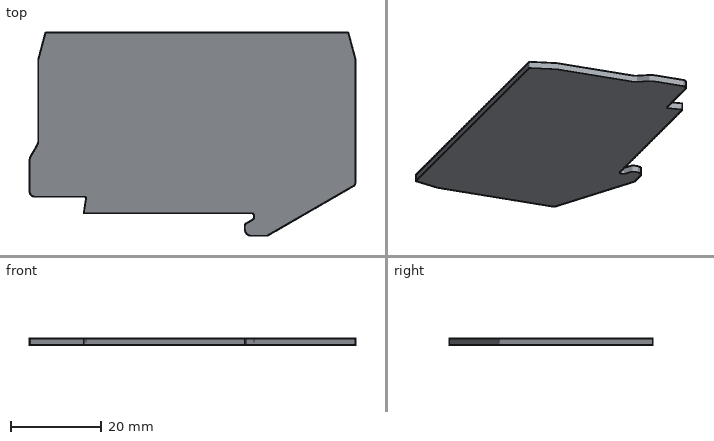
import cadquery as cq
import math

LENGTH = 72.4
WIDTH = 45.2
THICKNESS = 1.5

TAPER_INSET = 1.6
TAPER_ANGLE = 15.0
TOP_CORNER_RADIUS = 0.3

LUG_DEPTH = 1.95
LUG_BOTTOM = 8.7
LUG_TOP = 17.2
LUG_SLOPE_ANGLE = 60.0
LUG_SLOPE_RADIUS = 2.2
LUG_FOOT_RADIUS = 1.2

STEP_TOP_X = 12.6
STEP_BOTTOM_X = 12.0
LOWER_EDGE_Y = 5.0
STEP_TOP_RADIUS = 0.35
STEP_BOTTOM_RADIUS = 0.2

HOOK_X = 47.8
HOOK_END_X = 52.8
HOOK_SHOULDER_Y = 2.6
HOOK_RADIUS = 1.5
HOOK_SHOULDER_RADIUS = 0.7
NOTCH_X = 49.8
NOTCH_RADIUS = 0.4

SLOPE_ANGLE = 30.0
CORNER_RADIUS = 1.0


def rise(run, angle):
    """Height gained over a horizontal run at an angle from horizontal."""
    return run * math.tan(math.radians(angle))


def round_corner(body, corner, radius):
    """Round the upright edge that stands at an outline corner."""
    x, y = corner
    reach = 0.1
    selector = cq.selectors.BoxSelector(
        (x - reach, y - reach, -reach),
        (x + reach, y + reach, THICKNESS + reach),
    )
    return body.edges("|Z").edges(selector).fillet(radius)


taper_y = WIDTH - rise(TAPER_INSET, 90 - TAPER_ANGLE)
lug_root = (LUG_DEPTH, LUG_TOP + rise(LUG_DEPTH, LUG_SLOPE_ANGLE))
lug_shoulder = (0, LUG_TOP)
lug_foot = (0, LUG_BOTTOM)
notch_top = (NOTCH_X, LOWER_EDGE_Y)
notch_bottom = (NOTCH_X, HOOK_SHOULDER_Y + rise(NOTCH_X - HOOK_X, SLOPE_ANGLE))
hook_shoulder = (HOOK_X, HOOK_SHOULDER_Y)
hook_foot = (HOOK_X, 0)
right_corner = (LENGTH, rise(LENGTH - HOOK_END_X, SLOPE_ANGLE))
step_top = (STEP_TOP_X, LUG_BOTTOM)
step_bottom = (STEP_BOTTOM_X, LOWER_EDGE_Y)
hook_end = (HOOK_END_X, 0)
top_left = (LUG_DEPTH + TAPER_INSET, WIDTH)
top_right = (LENGTH - TAPER_INSET, WIDTH)

outline = [
    top_left,
    (LUG_DEPTH, taper_y),
    lug_root,
    lug_shoulder,
    lug_foot,
    step_top,
    step_bottom,
    notch_top,
    notch_bottom,
    hook_shoulder,
    hook_foot,
    hook_end,
    right_corner,
    (LENGTH, taper_y),
    top_right,
]
plate = cq.Workplane("XY").polyline(outline).close().extrude(THICKNESS)

rounded_corners = [
    (top_left, TOP_CORNER_RADIUS),
    (top_right, TOP_CORNER_RADIUS),
    (lug_root, LUG_SLOPE_RADIUS),
    (lug_shoulder, LUG_SLOPE_RADIUS),
    (lug_foot, LUG_FOOT_RADIUS),
    (step_top, STEP_TOP_RADIUS),
    (step_bottom, STEP_BOTTOM_RADIUS),
    (notch_top, NOTCH_RADIUS),
    (notch_bottom, NOTCH_RADIUS),
    (hook_shoulder, HOOK_SHOULDER_RADIUS),
    (hook_foot, HOOK_RADIUS),
    (hook_end, CORNER_RADIUS),
    (right_corner, CORNER_RADIUS),
]
for corner, radius in rounded_corners:
    plate = round_corner(plate, corner, radius)

result = plate